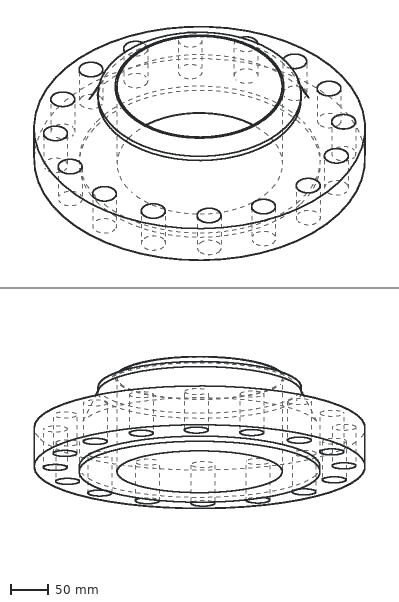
import cadquery as cq
import math

flange_diameter = 444.5
raised_face_diameter = 323.5
raised_face_height = 7.0
flange_thickness = 53.8

overall_height = 130.0
hub_foot_diameter = 321.0
rim_diameter = 273.0
rim_height = 7.0
bevel_foot_diameter = 260.5
bevel_land_diameter = 226.5
bevel_angle = 37.5
bore_diameter = 221.7

hub_foot_fillet = 2.5
bevel_foot_fillet = 2.5

bolt_count = 16
bolt_circle_diameter = 387.5
bolt_hole_diameter = 32.0

flange_top = raised_face_height + flange_thickness
bevel_run = (bevel_foot_diameter - bevel_land_diameter) / 2
rim_top = overall_height - bevel_run * math.tan(math.radians(bevel_angle))
rim_bottom = rim_top - rim_height


def revolved_body():
    """Ring obtained by turning the half section (radius, height) about Z."""
    half_section = [
        (bore_diameter / 2, 0),
        (raised_face_diameter / 2, 0),
        (raised_face_diameter / 2, raised_face_height),
        (flange_diameter / 2, raised_face_height),
        (flange_diameter / 2, flange_top),
        (hub_foot_diameter / 2, flange_top),
        (rim_diameter / 2, rim_bottom),
        (rim_diameter / 2, rim_top),
        (bevel_foot_diameter / 2, rim_top),
        (bevel_land_diameter / 2, overall_height),
        (bore_diameter / 2, overall_height),
    ]
    return cq.Workplane("XZ").polyline(half_section).close().revolve(360, (0, 0, 0), (0, 1, 0))


def fillet_circle(body, diameter, height, fillet_radius):
    """Round the circular edge of the given diameter lying at the given height."""
    tolerance = 0.005

    def is_wanted(edge):
        at_height = abs(edge.Center().z - height) < tolerance
        return edge.geomType() == "CIRCLE" and at_height and abs(2 * edge.radius() - diameter) < tolerance

    return body.newObject([edge for edge in body.edges().vals() if is_wanted(edge)]).fillet(fillet_radius)


def bolt_holes():
    """Cylinders through the flange, evenly spaced with one on the +X axis."""
    return (
        cq.Workplane("XY")
        .polarArray(bolt_circle_diameter / 2, 0, 360, bolt_count)
        .circle(bolt_hole_diameter / 2)
        .extrude(flange_top)
    )


body = revolved_body()
body = fillet_circle(body, hub_foot_diameter, flange_top, hub_foot_fillet)
body = fillet_circle(body, bevel_foot_diameter, rim_top, bevel_foot_fillet)
result = body.cut(bolt_holes())